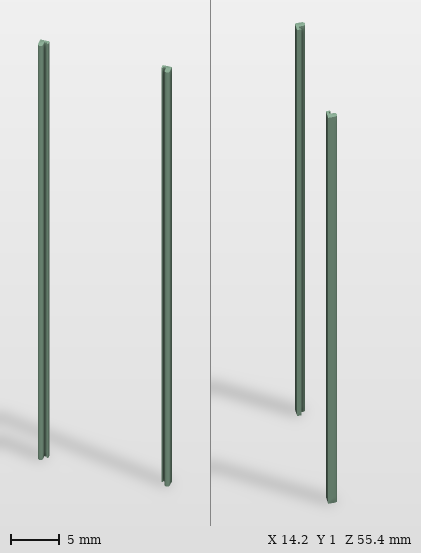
import cadquery as cq

LENGTH = 55.4
OVERALL_WIDTH = 14.2
STRIP_DEPTH = 1.0

FLANGE_WIDTH = 1.0
FLANGE_THICKNESS = 0.3
STEM_WIDTH = 0.55
LIP_WIDTH = 0.15
LIP_DEPTH = 0.45

HALF_WIDTH = OVERALL_WIDTH / 2
BACK_Y = STRIP_DEPTH / 2
TIP_RADIUS = STEM_WIDTH / 2


def make_strip(side):
    """Extrude one hooked strip; side is -1 for left and +1 for right, with the hook facing inward."""

    def point(inset, depth):
        return side * (HALF_WIDTH - inset), BACK_Y - depth

    tip_start = STRIP_DEPTH - TIP_RADIUS
    lip_inner = FLANGE_WIDTH - LIP_WIDTH
    return (
        cq.Workplane("XY")
        .workplane(offset=-LENGTH / 2)
        .moveTo(*point(0, 0))
        .lineTo(*point(FLANGE_WIDTH, 0))
        .lineTo(*point(FLANGE_WIDTH, LIP_DEPTH))
        .lineTo(*point(lip_inner, LIP_DEPTH))
        .lineTo(*point(lip_inner, FLANGE_THICKNESS))
        .lineTo(*point(STEM_WIDTH, FLANGE_THICKNESS))
        .lineTo(*point(STEM_WIDTH, tip_start))
        .threePointArc(point(TIP_RADIUS, STRIP_DEPTH), point(0, tip_start))
        .close()
        .extrude(LENGTH)
    )


strips = [make_strip(side) for side in (-1, 1)]

result = cq.Compound.makeCompound([strip.val() for strip in strips])